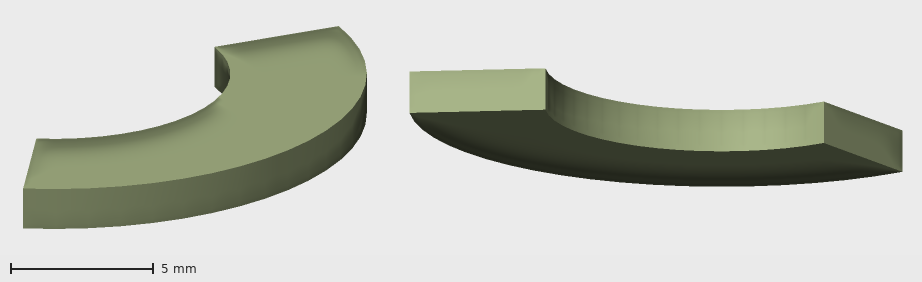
import cadquery as cq
import math

end_to_end = 19.05
half_angle = 60.0
inner_radius = 6.21
thickness = 1.5

outer_radius = end_to_end / (2 * math.sin(math.radians(half_angle)))


def polar_point(radius, angle):
    """Point at the given radius and angle (degrees) from the X axis."""
    return (
        radius * math.cos(math.radians(angle)),
        radius * math.sin(math.radians(angle)),
    )


result = (
    cq.Workplane("XY")
    .moveTo(*polar_point(inner_radius, -half_angle))
    .lineTo(*polar_point(outer_radius, -half_angle))
    .threePointArc((outer_radius, 0), polar_point(outer_radius, half_angle))
    .lineTo(*polar_point(inner_radius, half_angle))
    .threePointArc((inner_radius, 0), polar_point(inner_radius, -half_angle))
    .close()
    .extrude(thickness)
)